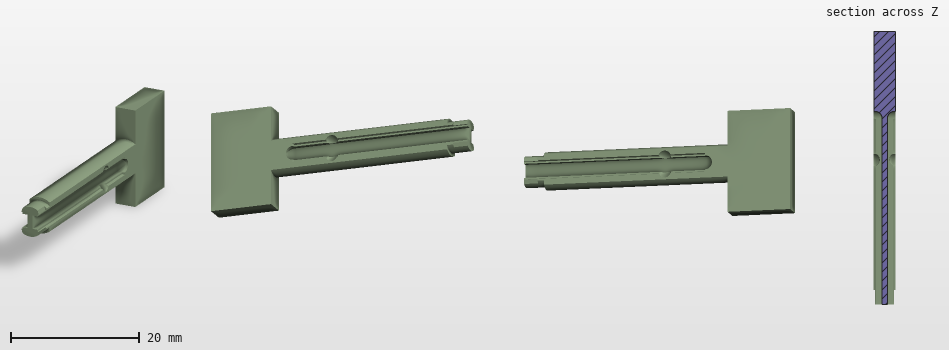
import cadquery as cq
import math

thickness = 3.5
head_length = 10.0
head_height = 16.0
total_length = 42.5
tip_length = 3.27
shaft_radius = 2.98
tip_radius = 2.45

tip_end = head_length - total_length
shaft_end = tip_end + tip_length
half_thickness = thickness / 2

flat_length = 2.25
flat_edge_x = 1.3
flat_edge_z = math.sqrt(tip_radius**2 - flat_edge_x**2)
flat_root_x = 1.51
flat_root_z = 1.4

web_thickness = 0.9
groove_half_height = 1.1
groove_start = -3.55
ledge_depth = 0.42
ledge_half_height = 1.35
ledge_mouth_half_height = 1.5

dimple_radius = 1.0
dimple_y = -10.05


def make_box(x_size, y_min, y_max, z_size):
    return cq.Workplane("XY").box(x_size, y_max - y_min, z_size).translate((0, (y_min + y_max) / 2, 0))


def flattened_rod(radius, length):
    """Rod running to -Y, with its sides cut to the part thickness."""
    rod = cq.Workplane("XZ").circle(radius).extrude(length)
    return rod.intersect(make_box(thickness, -length, 0, 2 * radius))


def tip_flat_cutter():
    """Wedge outside the sloping flat, for the +X, +Z corner of the tip."""
    slope = (flat_root_x - flat_edge_x) / (flat_edge_z - flat_root_z)
    bottom_x = flat_root_x + slope * flat_root_z
    top_x = flat_edge_x - slope * (tip_radius - flat_edge_z)
    outline = [(bottom_x, 0), (thickness, 0), (thickness, tip_radius), (top_x, tip_radius)]
    return cq.Workplane("XZ", origin=(0, tip_end + flat_length, 0)).polyline(outline).close().extrude(flat_length)


def groove_end():
    """Two equal crossing cylinders that round the closed end in plan and in elevation."""
    radius = groove_half_height
    center_x = web_thickness / 2 + radius
    center = (center_x, groove_start, 0)
    plan_round = cq.Workplane("XY", origin=center).circle(radius).extrude(radius, both=True)
    straight_mouth = make_box(
        radius, groove_start - radius, groove_start + radius, 2 * radius
    ).translate((center_x + radius / 2, 0, 0))
    elevation_round = cq.Workplane("YZ", origin=center).circle(radius).extrude(radius, both=True)
    return plan_round.union(straight_mouth).intersect(elevation_round)


def groove_cutter():
    """Groove, tapered ledge and pockets for the +X side."""
    depth = half_thickness - web_thickness / 2
    groove = make_box(depth, tip_end, groove_start, 2 * groove_half_height)
    groove = groove.translate((web_thickness / 2 + depth / 2, 0, 0))

    taper = math.degrees(math.atan((ledge_mouth_half_height - ledge_half_height) / ledge_depth))
    ledge_length = 2 * (groove_start - tip_end)
    ledge = (
        cq.Workplane("YZ", origin=(half_thickness, groove_start - ledge_length / 2, 0))
        .rect(ledge_length, 2 * ledge_mouth_half_height)
        .extrude(-ledge_depth, taper=taper)
    )
    cutter = groove.union(ledge).union(groove_end())
    for side in (-1, 1):
        dimple = cq.Workplane("XY").sphere(dimple_radius)
        cutter = cutter.union(dimple.translate((half_thickness, dimple_y, side * groove_half_height)))
    return cutter


head = make_box(thickness, 0, head_length, head_height)
shaft = flattened_rod(shaft_radius, -shaft_end)
tip = flattened_rod(tip_radius, -tip_end)
result = head.union(shaft).union(tip)

flat_cutter = tip_flat_cutter()
flat_pair = flat_cutter.union(flat_cutter.mirror("XY"))
side_cutter = groove_cutter().union(flat_pair)
result = result.cut(side_cutter).cut(side_cutter.mirror("YZ"))